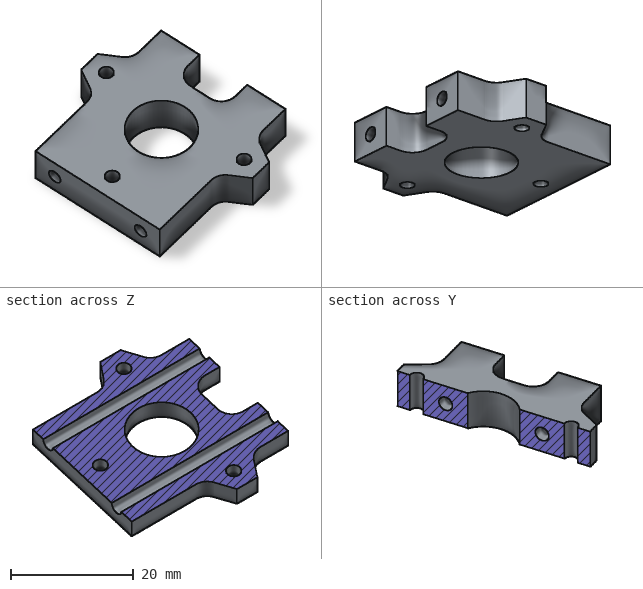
import cadquery as cq
import math

THICKNESS = 7.0
BODY_WIDTH = 26.05
FRONT_Y = -16.5
BACK_Y = 16.02
BORE_DIAMETER = 12.0

EAR_SPAN = 36.0
EAR_Y = 3.55
EAR_TIP_LENGTH = 4.3
EAR_SLOPE = 30.0
EAR_ROOT_RADIUS = 3.0

NOTCH_WIDTH = 10.0
NOTCH_DEPTH = 6.0
NOTCH_RADIUS = 3.0

HOLE_DIAMETER = 2.45
EAR_HOLE_X = 14.45
FRONT_HOLE_Y = -12.7
EDGE_HOLE_X = 9.0


def make_body():
    return (
        cq.Workplane("XY")
        .box(BODY_WIDTH, BACK_Y - FRONT_Y, THICKNESS)
        .translate((0, (FRONT_Y + BACK_Y) / 2, 0))
    )


def make_ears():
    """Make one prism across the plate that forms both tapered ears."""
    tip_x = EAR_SPAN / 2
    root_x = BODY_WIDTH / 2
    tip_half = EAR_TIP_LENGTH / 2
    root_half = tip_half + (tip_x - root_x) * math.tan(math.radians(EAR_SLOPE))
    right_side = [(root_x, -root_half), (tip_x, -tip_half), (tip_x, tip_half), (root_x, root_half)]
    left_side = [(-x, -y) for x, y in right_side]
    return (
        cq.Workplane("XY")
        .polyline(right_side + left_side)
        .close()
        .extrude(THICKNESS / 2, both=True)
        .translate((0, EAR_Y, 0))
    )


def round_ear_roots(plate):
    root_x = BODY_WIDTH / 2
    margin = 0.35
    inner_x = root_x - margin
    outer_x = root_x + margin
    inner_y = FRONT_Y + margin
    outer_y = BACK_Y - margin
    half = THICKNESS / 2 + margin
    right_roots = cq.selectors.BoxSelector((inner_x, inner_y, -half), (outer_x, outer_y, half))
    left_roots = cq.selectors.BoxSelector((-outer_x, inner_y, -half), (-inner_x, outer_y, half))
    return plate.edges("|Z").edges(right_roots + left_roots).fillet(EAR_ROOT_RADIUS)


def make_notch():
    return (
        cq.Workplane("XY")
        .box(NOTCH_WIDTH, 2 * NOTCH_DEPTH, THICKNESS)
        .edges("|Z and <Y")
        .fillet(NOTCH_RADIUS)
        .translate((0, BACK_Y, 0))
    )


def make_drill(entry, direction, depth):
    """Make a straight drill that starts at a face and goes along direction."""
    entry_plane = cq.Plane(origin=entry, normal=direction)
    return cq.Workplane(entry_plane).circle(HOLE_DIAMETER / 2).extrude(depth)


result = round_ear_roots(make_body().union(make_ears()))
result = result.cut(make_notch())

bore = cq.Workplane("XY").circle(BORE_DIAMETER / 2).extrude(THICKNESS / 2, both=True)
result = result.cut(bore)

for x, y in [(-EAR_HOLE_X, EAR_Y), (EAR_HOLE_X, EAR_Y), (0, FRONT_HOLE_Y)]:
    result = result.cut(make_drill((x, y, THICKNESS / 2), (0, 0, -1), THICKNESS))

for x in (-EDGE_HOLE_X, EDGE_HOLE_X):
    result = result.cut(make_drill((x, FRONT_Y, 0), (0, 1, 0), BACK_Y - FRONT_Y))